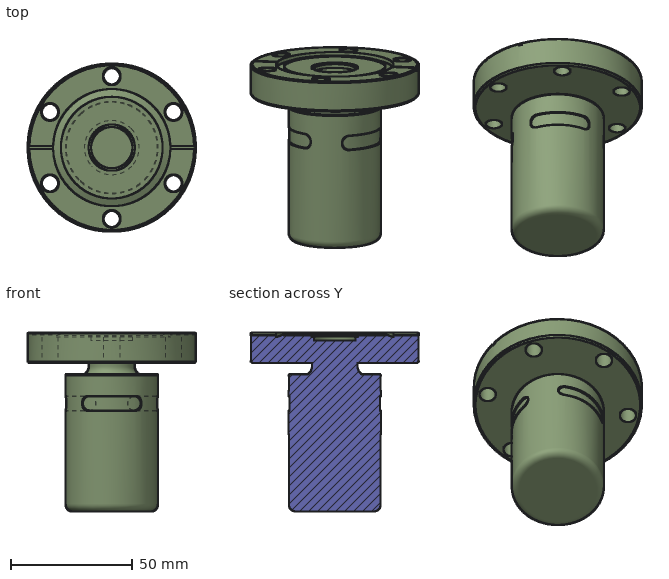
import cadquery as cq
import math

TOTAL_HEIGHT = 73.81

FLANGE_RADIUS = 69.34 / 2
FLANGE_THICKNESS = 12.7
TOP_EDGE_WIDTH = 0.78
TOP_EDGE_HEIGHT = 0.45
BOTTOM_EDGE_CHAMFER = 0.78

RECESS_RADIUS = 48.3 / 2
KNIFE_RADIUS = 41.9 / 2
KNIFE_DEPTH = 0.7
KNIFE_SLOPE_DEG = 20.0
RECESS_FLOOR_DEPTH = 1.25

TUBE_RADIUS = 19.05 / 2
BORE_RADIUS = 17.0 / 2
TUBE_STEP = 0.5
BORE_DEPTH = 1.55

BOLT_COUNT = 6
BOLT_CIRCLE_RADIUS = 58.7 / 2
BOLT_HOLE_RADIUS = 6.7 / 2
BOLT_HOLE_CHAMFER = 0.3

GROOVE_WIDTH = 1.3
GROOVE_DEPTH = 1.15

NECK_GAP = 4.5
NECK_STRAIGHT = 1.4
FLARE_RADIUS = 3.7

BODY_RADIUS = 38.1 / 2
BODY_TOP_EDGE_WIDTH = 0.3
BODY_TOP_EDGE_HEIGHT = 0.5
BODY_BOTTOM_FILLET = 3.0

SLOT_COUNT = 3
FIRST_SLOT_DEG = -90.0
SLOT_HALF_ANGLE_DEG = 39.2
SLOT_HEIGHT = 5.7
SLOT_DEPTH = 0.3
SLOT_RIM_CHAMFER = 0.25
SLOT_TOP_BELOW_BODY_TOP = 9.15

FLANGE_BOTTOM_Z = TOTAL_HEIGHT - FLANGE_THICKNESS
BODY_TOP_Z = FLANGE_BOTTOM_Z - NECK_GAP
FLARE_TOP_Z = FLANGE_BOTTOM_Z - NECK_STRAIGHT
RECESS_FLOOR_Z = TOTAL_HEIGHT - RECESS_FLOOR_DEPTH
SLOT_CENTRE_Z = BODY_TOP_Z - SLOT_TOP_BELOW_BODY_TOP - SLOT_HEIGHT / 2

OVERCUT = 1.0


def flare_point(angle):
    """Point (radius, z) on the flare, at an angle turned from its tangent with the neck."""
    radius = TUBE_RADIUS + FLARE_RADIUS * (1 - math.cos(angle))
    z = FLARE_TOP_Z - FLARE_RADIUS * math.sin(angle)
    return radius, z


def make_turned_body():
    """Revolve the whole half-section: body, flared neck, flange, knife edge and bore.

    The section lies toward +Y, so the seam of the body wall runs between two slots.
    """
    flare_angle = math.asin((FLARE_TOP_Z - BODY_TOP_Z) / FLARE_RADIUS)
    fillet_offset = BODY_BOTTOM_FILLET * math.sqrt(0.5)
    fillet_centre_radius = BODY_RADIUS - BODY_BOTTOM_FILLET
    fillet_middle = (fillet_centre_radius + fillet_offset, BODY_BOTTOM_FILLET - fillet_offset)
    knife_rise = (RECESS_RADIUS - KNIFE_RADIUS) * math.tan(math.radians(KNIFE_SLOPE_DEG))
    knife_z = TOTAL_HEIGHT - KNIFE_DEPTH
    step_z = RECESS_FLOOR_Z - TUBE_STEP
    bore_floor_z = step_z - BORE_DEPTH

    section = (
        cq.Workplane("YZ")
        .moveTo(0, 0)
        .lineTo(fillet_centre_radius, 0)
        .threePointArc(fillet_middle, (BODY_RADIUS, BODY_BOTTOM_FILLET))
        .lineTo(BODY_RADIUS, BODY_TOP_Z - BODY_TOP_EDGE_HEIGHT)
        .lineTo(BODY_RADIUS - BODY_TOP_EDGE_WIDTH, BODY_TOP_Z)
        .lineTo(*flare_point(flare_angle))
        .threePointArc(flare_point(flare_angle / 2), flare_point(0))
        .lineTo(TUBE_RADIUS, FLANGE_BOTTOM_Z)
        .lineTo(FLANGE_RADIUS - BOTTOM_EDGE_CHAMFER, FLANGE_BOTTOM_Z)
        .lineTo(FLANGE_RADIUS, FLANGE_BOTTOM_Z + BOTTOM_EDGE_CHAMFER)
        .lineTo(FLANGE_RADIUS, TOTAL_HEIGHT - TOP_EDGE_HEIGHT)
        .lineTo(FLANGE_RADIUS - TOP_EDGE_WIDTH, TOTAL_HEIGHT)
        .lineTo(RECESS_RADIUS, TOTAL_HEIGHT)
        .lineTo(RECESS_RADIUS, knife_z - knife_rise)
        .lineTo(KNIFE_RADIUS, knife_z)
        .lineTo(KNIFE_RADIUS, RECESS_FLOOR_Z)
        .lineTo(TUBE_RADIUS, RECESS_FLOOR_Z)
        .lineTo(TUBE_RADIUS, step_z)
        .lineTo(BORE_RADIUS, step_z)
        .lineTo(BORE_RADIUS, bore_floor_z)
        .lineTo(0, bore_floor_z)
        .close()
    )
    return section.revolve(360, (0, 0, 0), (0, 1, 0))


def make_bolt_holes():
    """Through holes on the bolt circle, each chamfered at the flange face."""
    mouth_radius = BOLT_HOLE_RADIUS + BOLT_HOLE_CHAMFER
    hole = (
        cq.Workplane("XZ")
        .moveTo(0, FLANGE_BOTTOM_Z - OVERCUT)
        .lineTo(BOLT_HOLE_RADIUS, FLANGE_BOTTOM_Z - OVERCUT)
        .lineTo(BOLT_HOLE_RADIUS, TOTAL_HEIGHT - BOLT_HOLE_CHAMFER)
        .lineTo(mouth_radius, TOTAL_HEIGHT)
        .lineTo(mouth_radius, TOTAL_HEIGHT + OVERCUT)
        .lineTo(0, TOTAL_HEIGHT + OVERCUT)
        .close()
        .revolve(360, (0, 0, 0), (0, 1, 0))
        .val()
    )
    bolt_pattern = cq.Workplane("XY").polarArray(BOLT_CIRCLE_RADIUS, 90, 360, BOLT_COUNT)
    return bolt_pattern.eachpoint(hole, combine="a")


def make_leak_grooves():
    """Two opposite grooves along X, from the recess out through the rim."""
    inner_end = (RECESS_RADIUS + KNIFE_RADIUS) / 2
    length = FLANGE_RADIUS + OVERCUT - inner_end
    centre = inner_end + length / 2
    return (
        cq.Workplane("XY", origin=(0, 0, TOTAL_HEIGHT - GROOVE_DEPTH))
        .pushPoints([(-centre, 0), (centre, 0)])
        .rect(length, GROOVE_WIDTH)
        .extrude(GROOVE_DEPTH + OVERCUT)
    )


def make_slot(direction_deg):
    """Cutter for one wrapped slot with a floor concentric with the body."""
    end_radius = SLOT_HEIGHT / 2
    end_angle_deg = SLOT_HALF_ANGLE_DEG - math.degrees(end_radius / BODY_RADIUS)
    outer_radius = BODY_RADIUS + OVERCUT
    band_origin = (0, 0, SLOT_CENTRE_Z - SLOT_HEIGHT / 2)
    ring = (
        cq.Workplane("XY", origin=band_origin)
        .circle(outer_radius)
        .circle(BODY_RADIUS - SLOT_DEPTH)
        .extrude(SLOT_HEIGHT)
    )
    wedge_length = 2 * outer_radius
    wedge_half_width = wedge_length * math.tan(math.radians(end_angle_deg))
    outline = (
        cq.Workplane("XY", origin=band_origin)
        .polyline([(0, 0), (wedge_length, -wedge_half_width), (wedge_length, wedge_half_width)])
        .close()
        .extrude(SLOT_HEIGHT)
    )
    round_end = cq.Workplane("YZ", origin=(0, 0, SLOT_CENTRE_Z)).circle(end_radius).extrude(wedge_length)
    for angle in (-end_angle_deg, end_angle_deg):
        outline = outline.union(round_end.rotate((0, 0, 0), (0, 0, 1), angle))
    return ring.intersect(outline).rotate((0, 0, 0), (0, 0, 1), direction_deg)


def cut_slots(part):
    """Cut the equally spaced slots and chamfer their rims on the body surface."""
    for slot_index in range(SLOT_COUNT):
        part = part.cut(make_slot(FIRST_SLOT_DEG + slot_index * 360 / SLOT_COUNT))
    rim_edges = [
        edge
        for face in part.faces("%CYLINDER").vals()
        for rim in face.innerWires()
        for edge in rim.Edges()
    ]
    return part.newObject(rim_edges).chamfer(SLOT_RIM_CHAMFER)


slotted_part = cut_slots(make_turned_body())
result = slotted_part.cut(make_bolt_holes()).cut(make_leak_grooves())